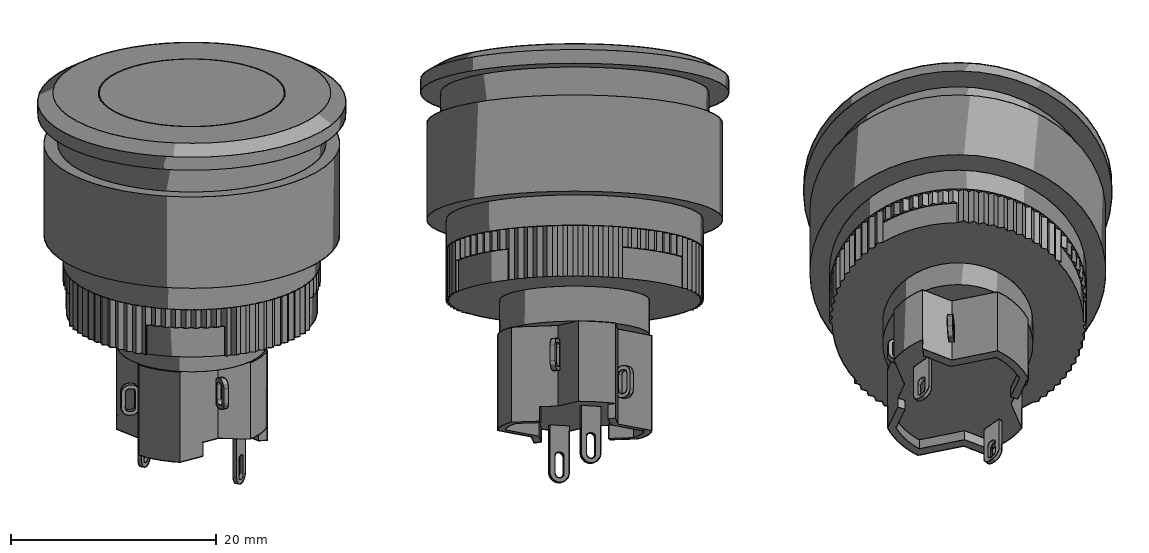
import cadquery as cq
import math

TOTAL_HEIGHT = 39.85
BEZEL_EDGE_TOP = 39.0
BEZEL_BOTTOM = 37.63
BODY_TOP = 34.6
BODY_BOTTOM = 25.07
KNURL_TOP = 22.1
GRIP_RECESS_TOP = 20.13
KNURL_BOTTOM = 17.05
BASE_TOP = 13.6
CAVITY_TOP = 5.62
BASE_BOTTOM = 4.2

BEZEL_DIAMETER = 29.97
BEZEL_FACE_DIAMETER = 27.03
LENS_DIAMETER = 18.0
LENS_GAP = 0.06
LENS_GAP_DEPTH = 0.2
NECK_DIAMETER = 26.1
BODY_DIAMETER = 28.78
KNURL_DIAMETER = 25.0
STEM_DIAMETER = 14.6

TOOTH_COUNT = 78
TOOTH_PITCH = 360 / TOOTH_COUNT
FIRST_TOOTH_ANGLE = 270.3
TOOTH_DEPTH = 0.28
RECESS_DEPTH = 0.28
RECESS_COUNT = 4
RECESS_ANGLE = 36
RECESS_CENTRE_ANGLE = 23.1

BASE_RADIUS = 7.5
X_LOBE_HALF_WIDTH = 1.87
Y_LOBE_HALF_WIDTH = 2.25
NOTCH_X = 4.35
NOTCH_Y = 3.05
WALL = 0.75
WINDOW_FLANK_X = 3.5

TERMINAL_X = 5.15
TERMINAL_THICKNESS = 0.4
TERMINAL_WIDTH = 2.0
TERMINAL_EYE_WIDTH = 0.9
TERMINAL_EYE_BOTTOM = 0.45
TERMINAL_EYE_TOP = 3.0

LUG_THICKNESS = 0.5
LUG_INNER_RADIUS = 5.2
LUG_OUTER_RADIUS = 6.98
LUG_HEIGHT = 3.15
LUG_RIM = 0.4
LUG_CORNER = 0.8
LOW_LUG_BOTTOM = 6.7
HIGH_LUG_BOTTOM = 9.0

OVERLAP = 0.2


def disc(diameter, bottom, top):
    return cq.Workplane("XY").workplane(offset=bottom).circle(diameter / 2).extrude(top - bottom)


def cone(bottom_diameter, top_diameter, bottom, top):
    lower = cq.Workplane("XY").workplane(offset=bottom).circle(bottom_diameter / 2)
    return lower.workplane(offset=top - bottom).circle(top_diameter / 2).loft()


def polar(radius, angle):
    return radius * math.cos(math.radians(angle)), radius * math.sin(math.radians(angle))


def on_circle(radius, along_x=None, along_y=None):
    """First-quadrant point on a circle, from its x or its y."""
    if along_x is None:
        return math.sqrt(radius**2 - along_y**2), along_y
    return along_x, math.sqrt(radius**2 - along_x**2)


def sector(inner_radius, outer_radius, start, end, bottom, top):
    """Ring sector between two angles."""
    middle = (start + end) / 2
    return (
        cq.Workplane("XY")
        .workplane(offset=bottom)
        .moveTo(*polar(inner_radius, start))
        .lineTo(*polar(outer_radius, start))
        .threePointArc(polar(outer_radius, middle), polar(outer_radius, end))
        .lineTo(*polar(inner_radius, end))
        .threePointArc(polar(inner_radius, middle), polar(inner_radius, start))
        .close()
        .extrude(top - bottom)
    )


def make_head():
    bezel = disc(BEZEL_DIAMETER, BEZEL_BOTTOM, BEZEL_EDGE_TOP)
    bevel = cone(BEZEL_DIAMETER, BEZEL_FACE_DIAMETER, BEZEL_EDGE_TOP, TOTAL_HEIGHT)
    gap_bottom = TOTAL_HEIGHT - LENS_GAP_DEPTH
    gap = disc(LENS_DIAMETER + 2 * LENS_GAP, gap_bottom, TOTAL_HEIGHT)
    gap = gap.cut(disc(LENS_DIAMETER, gap_bottom, TOTAL_HEIGHT))
    neck = disc(NECK_DIAMETER, BODY_TOP, BEZEL_BOTTOM)
    body = disc(BODY_DIAMETER, BODY_BOTTOM, BODY_TOP)
    collar = disc(KNURL_DIAMETER, KNURL_TOP, BODY_BOTTOM)
    return bezel.union(bevel).cut(gap).union(neck).union(body).union(collar)


def make_knurl():
    tip_radius = KNURL_DIAMETER / 2
    root_radius = tip_radius - TOOTH_DEPTH
    recess_radius = tip_radius - RECESS_DEPTH
    half_recess = RECESS_ANGLE / 2
    points = []
    for tooth in range(TOOTH_COUNT):
        tip_angle = FIRST_TOOTH_ANGLE + tooth * TOOTH_PITCH
        points.append(polar(tip_radius, tip_angle))
        points.append(polar(root_radius, tip_angle + TOOTH_PITCH / 2))
    outline = cq.Workplane("XY").workplane(offset=KNURL_BOTTOM).polyline(points).close()
    knurl = outline.extrude(KNURL_TOP - KNURL_BOTTOM)
    for index in range(RECESS_COUNT):
        centre = RECESS_CENTRE_ANGLE + index * 360 / RECESS_COUNT
        start = centre - half_recess
        end = centre + half_recess
        knurl = knurl.cut(
            sector(recess_radius, tip_radius + OVERLAP, start, end, KNURL_BOTTOM, GRIP_RECESS_TOP)
        )
    return knurl


X_LOBE_CORNER = on_circle(BASE_RADIUS, along_y=X_LOBE_HALF_WIDTH)
Y_LOBE_CORNER = on_circle(BASE_RADIUS, along_x=Y_LOBE_HALF_WIDTH)


def cross_outline(bottom):
    """Four-lobed outline with round lobe ends."""
    lobe_x, lobe_y = X_LOBE_CORNER
    side_x, side_y = Y_LOBE_CORNER
    return (
        cq.Workplane("XY")
        .workplane(offset=bottom)
        .moveTo(lobe_x, -lobe_y)
        .threePointArc((BASE_RADIUS, 0), (lobe_x, lobe_y))
        .lineTo(NOTCH_X, NOTCH_Y)
        .lineTo(side_x, side_y)
        .threePointArc((0, BASE_RADIUS), (-side_x, side_y))
        .lineTo(-NOTCH_X, NOTCH_Y)
        .lineTo(-lobe_x, lobe_y)
        .threePointArc((-BASE_RADIUS, 0), (-lobe_x, -lobe_y))
        .lineTo(-NOTCH_X, -NOTCH_Y)
        .lineTo(-side_x, -side_y)
        .threePointArc((0, -BASE_RADIUS), (side_x, -side_y))
        .lineTo(NOTCH_X, -NOTCH_Y)
        .close()
    )


def make_cavity():
    """Hollow under the base, one wall thickness inside the cross outline."""
    outline = cross_outline(BASE_BOTTOM).offset2D(-WALL, "intersection")
    return outline.extrude(CAVITY_TOP - BASE_BOTTOM)


def make_lobe_opening():
    """Opening through the end wall of the +X lobe, splayed out to the lobe corners."""
    flank_angle = math.atan2(NOTCH_Y - X_LOBE_CORNER[1], X_LOBE_CORNER[0] - NOTCH_X)
    inner_x = BASE_RADIUS - WALL - OVERLAP
    run = inner_x - NOTCH_X
    inner_y = NOTCH_Y - run * math.tan(flank_angle) - WALL / math.cos(flank_angle)
    corner_x, corner_y = X_LOBE_CORNER
    outside = BASE_RADIUS + OVERLAP
    points = [
        (inner_x, -inner_y),
        (corner_x, -corner_y),
        (outside, -corner_y),
        (outside, corner_y),
        (corner_x, corner_y),
        (inner_x, inner_y),
    ]
    outline = cq.Workplane("XY").workplane(offset=BASE_BOTTOM).polyline(points).close()
    return outline.extrude(CAVITY_TOP - BASE_BOTTOM)


def make_corner_window():
    """Opening in the notch wall of the +X -Y quadrant, ended square to the Y lobe flank."""
    flank_x = NOTCH_X - Y_LOBE_CORNER[0]
    flank_y = Y_LOBE_CORNER[1] - NOTCH_Y
    flank_length = math.hypot(flank_x, flank_y)
    outward = (flank_y / flank_length, -flank_x / flank_length)
    start_y = -NOTCH_Y - (NOTCH_X - WINDOW_FLANK_X) * flank_y / flank_x
    reach = WALL + OVERLAP
    inner = (WINDOW_FLANK_X - reach * outward[0], start_y - reach * outward[1])
    outer = (WINDOW_FLANK_X + reach * outward[0], start_y + reach * outward[1])
    outside = BASE_RADIUS + OVERLAP
    points = [inner, outer, (outside, outer[1]), (outside, 0), (inner[0], 0)]
    outline = cq.Workplane("XY").workplane(offset=BASE_BOTTOM).polyline(points).close()
    return outline.extrude(CAVITY_TOP - BASE_BOTTOM)


def make_base():
    base = cross_outline(BASE_BOTTOM).extrude(BASE_TOP - BASE_BOTTOM).cut(make_cavity())
    opening = make_lobe_opening().union(make_corner_window())
    for angle in (0, 180):
        base = base.cut(opening.rotate((0, 0, 0), (0, 0, 1), angle))
    return base


def make_terminal(x):
    """Flat blade with a round tip and a slotted eye."""
    end_radius = TERMINAL_WIDTH / 2
    eye_length = TERMINAL_EYE_TOP - TERMINAL_EYE_BOTTOM
    eye_centre = (TERMINAL_EYE_TOP + TERMINAL_EYE_BOTTOM) / 2
    top = CAVITY_TOP + OVERLAP
    side = cq.Workplane("YZ").workplane(offset=x - TERMINAL_THICKNESS / 2)
    blade = (
        side.moveTo(-end_radius, top)
        .lineTo(-end_radius, end_radius)
        .threePointArc((0, 0), (end_radius, end_radius))
        .lineTo(end_radius, top)
        .close()
        .extrude(TERMINAL_THICKNESS)
    )
    eye = side.center(0, eye_centre).slot2D(eye_length, TERMINAL_EYE_WIDTH, 90)
    return blade.cut(eye.extrude(TERMINAL_THICKNESS))


def make_lug(bottom, angle):
    """Radial eyelet with rounded corners."""
    width = LUG_OUTER_RADIUS - LUG_INNER_RADIUS
    centre = ((LUG_OUTER_RADIUS + LUG_INNER_RADIUS) / 2, 0, bottom + LUG_HEIGHT / 2)
    plate = cq.Workplane("XY").box(width, LUG_THICKNESS, LUG_HEIGHT).edges("|Y").fillet(LUG_CORNER)
    eye = cq.Workplane("XY").box(width - 2 * LUG_RIM, LUG_THICKNESS, LUG_HEIGHT - 2 * LUG_RIM)
    eye = eye.edges("|Y").fillet(LUG_CORNER - LUG_RIM)
    return plate.cut(eye).translate(centre).rotate((0, 0, 0), (0, 0, 1), angle)


result = make_head().union(make_knurl())
result = result.union(disc(STEM_DIAMETER, BASE_TOP, KNURL_BOTTOM))
result = result.union(make_base())

for terminal_x in (-TERMINAL_X, TERMINAL_X):
    result = result.union(make_terminal(terminal_x))

notch_angle = math.degrees(math.atan2(NOTCH_Y, NOTCH_X))
for half_turn in (0, 180):
    result = result.union(make_lug(LOW_LUG_BOTTOM, half_turn + notch_angle))
    result = result.union(make_lug(HIGH_LUG_BOTTOM, half_turn - notch_angle))